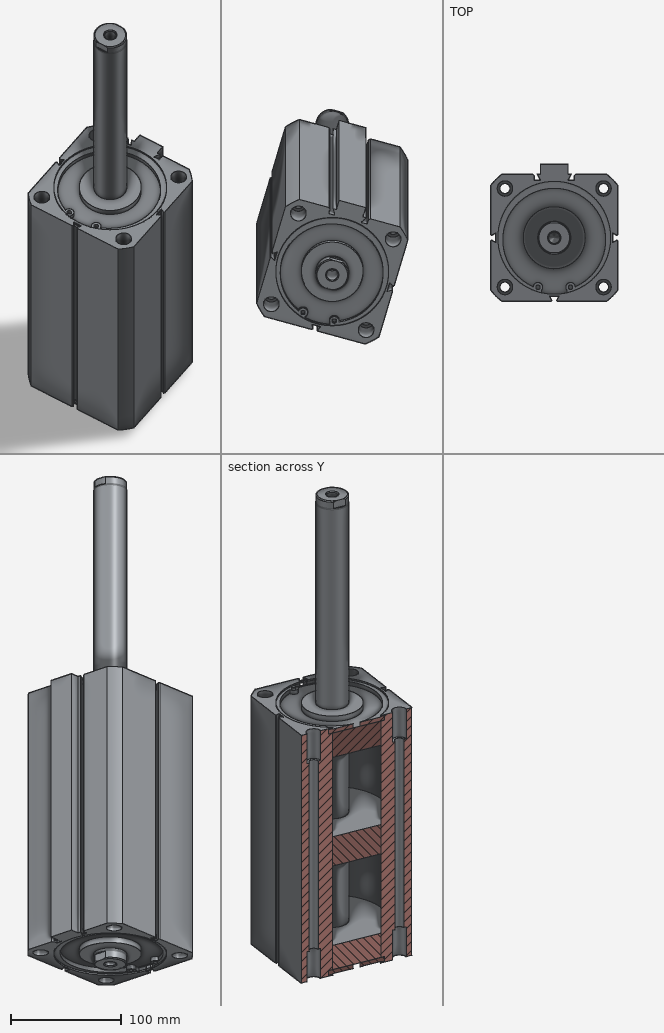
import cadquery as cq
import math


barrel_width = 115.0
barrel_length = 250.0
corner_round_diameter = 149.0
bore_diameter = 102.0

rail_width = 25.0
rail_height = 9.0
rail_lip_width = 31.0
relief_width = 36.0
relief_depth = 5.5
relief_chamfer = 1.5

slot_throat_width = 4.0
slot_mouth_width = 6.0
slot_throat_depth = 0.7
slot_floor_width = 8.0
slot_depth = 4.6

bolt_spacing = 89.0
bolt_hole_diameter = 9.0
counterbore_diameter = 14.0
counterbore_depth = 30.0

groove_diameter = 106.0
groove_inset = 1.5
ring_thickness = 4.0
ring_opening_diameter = 93.0
ring_opening_offset = -1.8
ring_gap_width = 23.0
ear_diameter = 8.6
ear_hole_diameter = 4.0
ear_x = 14.7
ear_y = -44.7

cover_thickness = 25.0
boss_diameter = 56.0
boss_height = groove_inset + ring_thickness

rod_diameter = 30.0
rod_top_extension = 210.0
rod_bottom_extension = 10.0
piston_thickness = 30.0
tip_diameter = 29.7
tip_length = 7.5
tip_taper_length = 1.0
tip_chamfer = 1.0
flat_spacing = 27.0
flat_length = 7.2
rod_hole_diameter = 10.2
rod_hole_chamfer = 0.9
rod_hole_depth = 30.0
drill_point_angle = 118.0

half_width = barrel_width / 2
cover_face = barrel_length - groove_inset - ring_thickness


def cylinder(diameter, z_start, length):
    return cq.Workplane("XY").workplane(offset=z_start).circle(diameter / 2).extrude(length)


def other_end(body):
    """The same body at the opposite end of the barrel."""
    return body.mirror("XY").translate((0, 0, barrel_length))


def make_sensor_slot():
    """Cutter for the undercut slot in the -Y face."""
    half_profile = [
        (slot_mouth_width / 2, -half_width),
        (slot_throat_width / 2, -half_width + slot_throat_depth),
        (slot_floor_width / 2, -half_width + slot_depth),
    ]
    mirrored = [(-x, y) for x, y in reversed(half_profile)]
    return cq.Workplane("XY").polyline(half_profile + mirrored).close().extrude(barrel_length)


def make_rail_groove():
    """Cutter for the groove on the +X side of the port rail."""
    floor_y = half_width - relief_depth
    groove = [
        (relief_width / 2 + relief_chamfer, half_width),
        (relief_width / 2, half_width - relief_chamfer),
        (relief_width / 2, floor_y),
        (rail_width / 2, floor_y),
        (rail_lip_width / 2, half_width),
    ]
    return cq.Workplane("XY").polyline(groove).close().extrude(barrel_length)


def make_barrel():
    body = cq.Workplane("XY").rect(barrel_width, barrel_width).extrude(barrel_length)
    body = body.intersect(cylinder(corner_round_diameter, 0, barrel_length))

    rail = cq.Workplane("XY").center(0, half_width).rect(rail_width, 2 * rail_height).extrude(barrel_length)
    body = body.union(rail)
    rail_groove = make_rail_groove()
    body = body.cut(rail_groove).cut(rail_groove.mirror("YZ"))

    slot = make_sensor_slot()
    for angle in (-90, 0, 90):
        body = body.cut(slot.rotate((0, 0, 0), (0, 0, 1), angle))

    body = body.cut(cylinder(bore_diameter, 0, barrel_length))
    ring_groove = cylinder(groove_diameter, cover_face, ring_thickness)
    body = body.cut(ring_groove).cut(other_end(ring_groove))

    corners = cq.Workplane("XY").rect(bolt_spacing, bolt_spacing, forConstruction=True).vertices()
    counterbores = corners.circle(counterbore_diameter / 2).extrude(counterbore_depth)
    body = body.cut(corners.circle(bolt_hole_diameter / 2).extrude(barrel_length))
    return body.cut(counterbores).cut(other_end(counterbores))


def make_cover():
    cover = cylinder(bore_diameter, cover_face - cover_thickness, cover_thickness)
    cover = cover.union(cylinder(boss_diameter, cover_face, boss_height))
    return cover.cut(cylinder(rod_diameter, cover_face - cover_thickness, cover_thickness + boss_height))


def make_ring():
    """Open ring, widest opposite its gap, with a plier ear on each side of the gap."""
    plane = cq.Workplane("XY").workplane(offset=cover_face)
    disc = cylinder(groove_diameter, cover_face, ring_thickness)
    opening = plane.center(0, ring_opening_offset).circle(ring_opening_diameter / 2).extrude(ring_thickness)
    gap_length = groove_diameter / 2
    gap = plane.center(0, -gap_length / 2).rect(ring_gap_width, gap_length).extrude(ring_thickness)
    ear_centres = plane.pushPoints([(-ear_x, ear_y), (ear_x, ear_y)])
    ears = ear_centres.circle(ear_diameter / 2).extrude(ring_thickness)
    holes = ear_centres.circle(ear_hole_diameter / 2).extrude(ring_thickness)
    return disc.cut(opening).cut(gap).union(ears).cut(holes)


def make_tip_hole():
    """Chamfered drilled hole going down from Z = 0."""
    radius = rod_hole_diameter / 2
    point_depth = radius / math.tan(math.radians(drill_point_angle / 2))
    return (
        cq.Workplane("XZ")
        .moveTo(0, 0)
        .lineTo(radius + rod_hole_chamfer, 0)
        .lineTo(radius, -rod_hole_chamfer)
        .lineTo(radius, -rod_hole_depth)
        .lineTo(0, -rod_hole_depth - point_depth)
        .close()
        .revolve(360, (0, 0), (0, 1))
    )


def make_rod():
    bottom = -rod_bottom_extension
    top = barrel_length + rod_top_extension
    shoulder = tip_length + tip_taper_length
    rod_radius = rod_diameter / 2
    tip_radius = tip_diameter / 2
    rod = (
        cq.Workplane("XZ")
        .moveTo(0, bottom)
        .lineTo(tip_radius - tip_chamfer, bottom)
        .lineTo(tip_radius, bottom + tip_chamfer)
        .lineTo(tip_radius, bottom + tip_length)
        .lineTo(rod_radius, bottom + shoulder)
        .lineTo(rod_radius, top - shoulder)
        .lineTo(tip_radius, top - tip_length)
        .lineTo(tip_radius, top - tip_chamfer)
        .lineTo(tip_radius - tip_chamfer, top)
        .lineTo(0, top)
        .close()
        .revolve(360, (0, 0), (0, 1))
    )
    rod = rod.union(cylinder(bore_diameter, (barrel_length - piston_thickness) / 2, piston_thickness))

    hole = make_tip_hole()
    rod = rod.cut(hole.translate((0, 0, top)))
    rod = rod.cut(hole.mirror("XY").translate((0, 0, bottom)))

    flat_centre = (flat_spacing + rod_diameter) / 2
    for z_start in (bottom, top - flat_length):
        plane = cq.Workplane("XY").workplane(offset=z_start)
        sides = plane.pushPoints([(0, -flat_centre), (0, flat_centre)])
        rod = rod.cut(sides.rect(rod_diameter, rod_diameter).extrude(flat_length))
    return rod


barrel = make_barrel()
rod = make_rod()
top_cover = make_cover()
bottom_cover = other_end(top_cover)
top_ring = make_ring()
bottom_ring = other_end(top_ring)

result = cq.Compound.makeCompound(
    [
        barrel.val(),
        rod.val(),
        top_cover.val(),
        bottom_cover.val(),
        top_ring.val(),
        bottom_ring.val(),
    ]
)